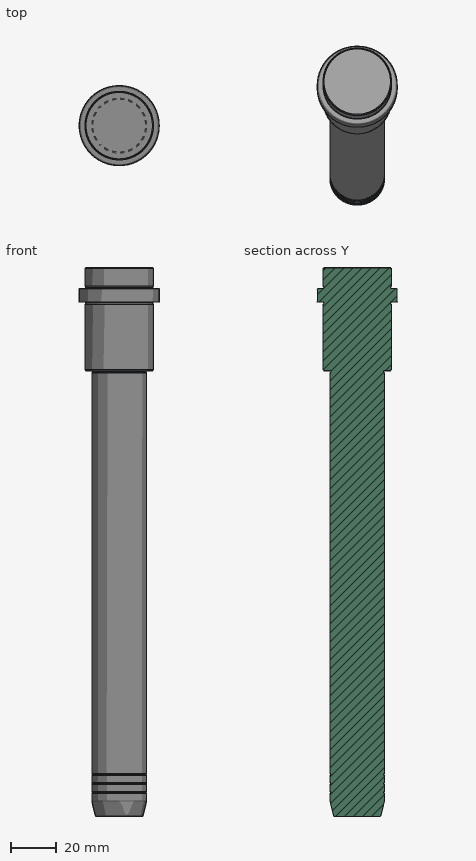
import cadquery as cq

total_length = 240.0
shoulder_length = 45.0
collar_thickness = 6.0
collar_setback = 9.0

shaft_radius = 12.0
shoulder_diameter = 30.0
shoulder_radius = shoulder_diameter / 2
collar_radius = 17.5

collar_fillet = 0.5
top_chamfer = 0.5
shoulder_chamfer = 0.5

relief_width = 1.0
relief_depth = 0.5

nose_length = 7.0
nose_tip_radius = 10.3
nose_bulge = 0.07
tip_fillet = 0.7

groove_count = 3
groove_span = 8.0
groove_pitch = groove_span / (groove_count - 1)
groove_width = 1.0
groove_depth = 0.5
first_groove_height = 10.5

shoulder_bottom = total_length - shoulder_length
collar_top = total_length - collar_setback
collar_bottom = collar_top - collar_thickness


def cylinder(radius, bottom, top):
    return cq.Workplane("XY").workplane(offset=bottom).circle(radius).extrude(top - bottom)


def vee_ring(radius, depth, center, width):
    """Ring of triangular section, with its point facing the axis of the pin."""
    return (
        cq.Workplane("XZ")
        .moveTo(radius - depth, center)
        .lineTo(radius, center + width / 2)
        .lineTo(radius, center - width / 2)
        .close()
        .revolve(360, (0, 0), (0, 1))
    )


def make_shaft():
    """Shaft with a slightly convex nose, oil grooves and a relief under the shoulder."""
    middle_radius = (shaft_radius + nose_tip_radius) / 2 + nose_bulge
    shaft = (
        cq.Workplane("XZ")
        .lineTo(nose_tip_radius, 0)
        .threePointArc((middle_radius, nose_length / 2), (shaft_radius, nose_length))
        .lineTo(shaft_radius, shoulder_bottom)
        .lineTo(0, shoulder_bottom)
        .close()
        .revolve(360, (0, 0), (0, 1))
        .faces("<Z").edges().fillet(tip_fillet)
    )
    for index in range(groove_count):
        center = first_groove_height + index * groove_pitch
        shaft = shaft.cut(vee_ring(shaft_radius, groove_depth, center, groove_width))
    relief_center = shoulder_bottom - relief_width / 2
    return shaft.cut(vee_ring(shaft_radius, relief_depth, relief_center, relief_width))


def make_head():
    """Chamfered shoulder and its collar, with a relief groove against each side of the collar."""
    shoulder = cylinder(shoulder_radius, shoulder_bottom, total_length)
    shoulder = shoulder.faces("<Z").edges().chamfer(shoulder_chamfer)
    shoulder = shoulder.faces(">Z").edges().chamfer(top_chamfer)
    for center in (collar_top + relief_width / 2, collar_bottom - relief_width / 2):
        shoulder = shoulder.cut(vee_ring(shoulder_radius, relief_depth, center, relief_width))
    collar = cylinder(collar_radius, collar_bottom, collar_top)
    collar = collar.faces(">Z").edges().fillet(collar_fillet)
    return shoulder.union(collar)


result = make_shaft().union(make_head())